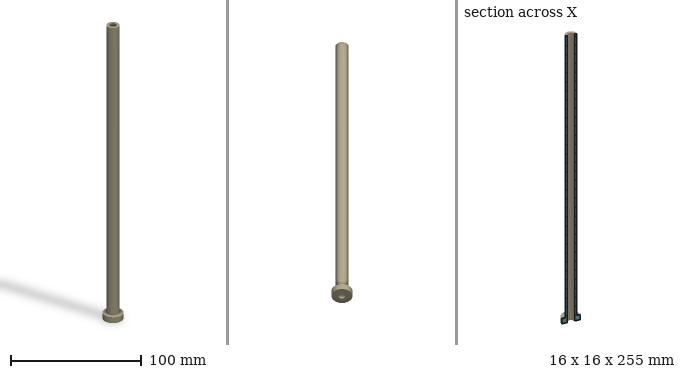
import cadquery as cq
import math

total_length = 255.0
head_diameter = 16.0
head_height = 5.0
tube_diameter = 10.0
bore_diameter = 5.5
root_fillet = 0.5

head_radius = head_diameter / 2
tube_radius = tube_diameter / 2
bore_radius = bore_diameter / 2

fillet_inset = root_fillet * (1 - math.sqrt(0.5))
fillet_middle = (tube_radius + fillet_inset, head_height + fillet_inset)

half_section = (
    cq.Workplane("XZ")
    .moveTo(bore_radius, 0)
    .lineTo(head_radius, 0)
    .lineTo(head_radius, head_height)
    .lineTo(tube_radius + root_fillet, head_height)
    .threePointArc(fillet_middle, (tube_radius, head_height + root_fillet))
    .lineTo(tube_radius, total_length)
    .lineTo(bore_radius, total_length)
    .close()
)

result = half_section.revolve(360, (0, 0, 0), (0, 1, 0))